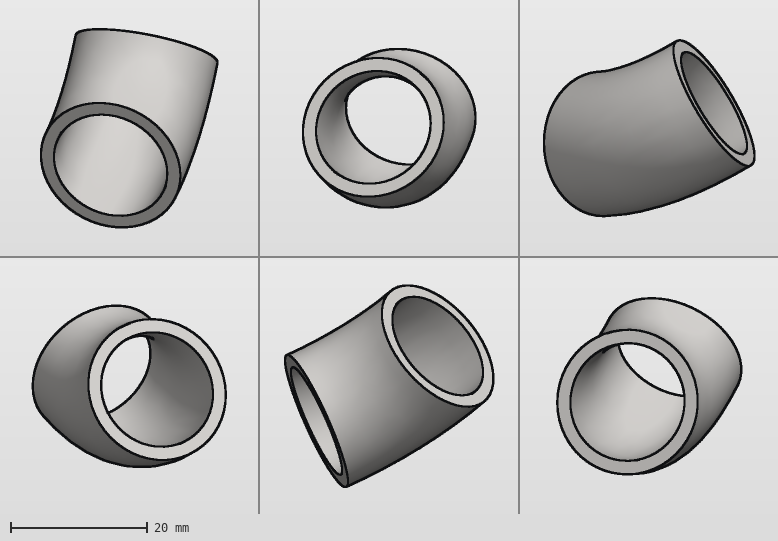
import cadquery as cq

outer_diameter = 21.3
wall_thickness = 2.0
bend_radius = 28.0
bend_angle = 45.0

inner_diameter = outer_diameter - 2 * wall_thickness


def make_elbow():
    """Revolve the tube's ring section about an axis parallel to X, above the inlet.

    The inlet face is centred on the origin and faces -Y; the bend rises toward +Y and +Z.
    """
    ring = cq.Workplane("XZ").circle(outer_diameter / 2).circle(inner_diameter / 2)
    axis_start = (0, bend_radius)
    axis_end = (1, bend_radius)
    return ring.revolve(bend_angle, axis_start, axis_end)


result = make_elbow()